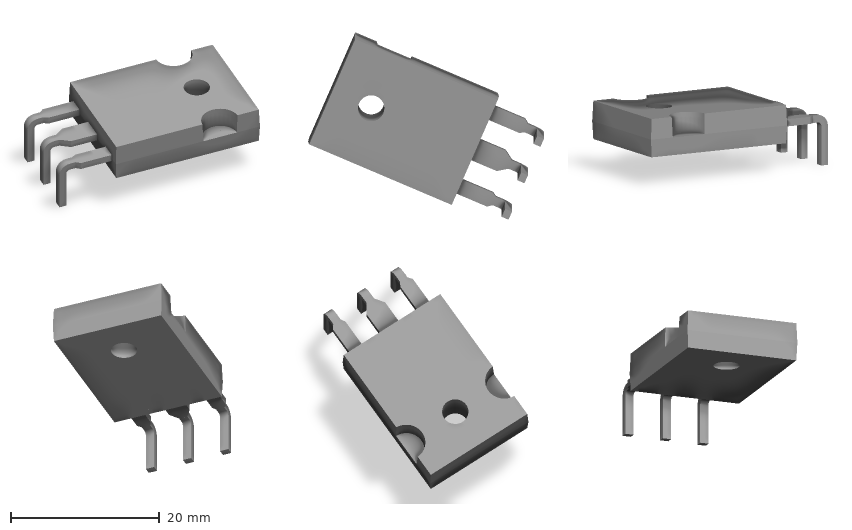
import cadquery as cq
import math


housing_width = 15.9
housing_length = 21.12
height_above = 2.8
height_below = 2.45
draft_inset = 0.1

hole_y = housing_length - 5.82
hole_diameter = 3.55
notch_top_radius = 2.57
notch_floor_radius = 2.45

spreader_width = 13.47
spreader_margin = (housing_width - spreader_width) / 2
spreader_length = housing_length - 2 * spreader_margin

lead_thickness = 1.0
lead_top = 0.55
lead_bottom = lead_top - lead_thickness
blade_embed = 1.15
blade_reach = 5.08
blade_pitch = 5.48
outer_blade_width = 2.03
outer_taper_start = 4.48
middle_blade_width = 3.03
middle_taper_start = 3.77
pin_width = 1.2
pin_pitch = 5.42
pin_reach = 7.42
pin_tip_z = height_above - 9.2
bend_inner_radius = 0.55
bend_outer_radius = bend_inner_radius + lead_thickness

sides = (-1, 1)


def make_housing_half(height):
    """Half of the housing, from the parting plane to the signed height."""
    draft_angle = math.degrees(math.atan(draft_inset / abs(height)))
    return (
        cq.Workplane("XY")
        .center(0, housing_length / 2)
        .rect(housing_width, housing_length)
        .extrude(height, taper=draft_angle)
    )


def make_notch_cutter(side):
    """Upright cone, narrowing down to the parting plane, centred on one long edge."""
    return (
        cq.Workplane("XY")
        .center(side * housing_width / 2, hole_y)
        .circle(notch_floor_radius)
        .workplane(offset=height_above)
        .circle(notch_top_radius)
        .loft()
    )


def make_mounting_hole():
    return (
        cq.Workplane("XY", origin=(0, hole_y, -height_below))
        .circle(hole_diameter / 2)
        .extrude(height_above + height_below)
    )


def make_spreader_blank():
    return (
        cq.Workplane("XY")
        .center(0, housing_length / 2)
        .rect(spreader_width, spreader_length)
        .extrude(-height_below)
    )


def make_blade(position, width, taper_start):
    """Flat lead root, embedded in the housing and tapering down to the pin width."""
    x = position * blade_pitch
    center_offset = position * pin_pitch - x
    tip_left = center_offset - pin_width / 2
    tip_right = center_offset + pin_width / 2
    outline = [
        (-width / 2, blade_embed),
        (-width / 2, -taper_start),
        (tip_left, -blade_reach),
        (tip_right, -blade_reach),
        (width / 2, -taper_start),
        (width / 2, blade_embed),
    ]
    return (
        cq.Workplane("XY", origin=(x, 0, lead_bottom))
        .polyline(outline)
        .close()
        .extrude(lead_thickness)
    )


def make_pin(x):
    """Narrow lead end that continues from the blade and bends down."""
    bend_y = -pin_reach + bend_outer_radius
    bend_z = lead_top - bend_outer_radius
    diagonal = math.sqrt(0.5)
    outer_mid = (bend_y - bend_outer_radius * diagonal, bend_z + bend_outer_radius * diagonal)
    inner_mid = (bend_y - bend_inner_radius * diagonal, bend_z + bend_inner_radius * diagonal)
    return (
        cq.Workplane("YZ", origin=(x, 0, 0))
        .moveTo(-blade_reach, lead_top)
        .lineTo(bend_y, lead_top)
        .threePointArc(outer_mid, (-pin_reach, bend_z))
        .lineTo(-pin_reach, pin_tip_z)
        .lineTo(-pin_reach + lead_thickness, pin_tip_z)
        .lineTo(-pin_reach + lead_thickness, bend_z)
        .threePointArc(inner_mid, (bend_y, lead_bottom))
        .lineTo(-blade_reach, lead_bottom)
        .close()
        .extrude(pin_width / 2, both=True)
    )


blades = [make_blade(side, outer_blade_width, outer_taper_start) for side in sides]
blades.append(make_blade(0, middle_blade_width, middle_taper_start))
pins = [make_pin(position * pin_pitch) for position in (-1, 0, 1)]

spreader = make_spreader_blank().cut(make_mounting_hole())

housing = make_housing_half(height_above).union(make_housing_half(-height_below))
housing = housing.cut(make_mounting_hole()).cut(make_spreader_blank())
for side in sides:
    housing = housing.cut(make_notch_cutter(side))
for blade in blades:
    housing = housing.cut(blade)

result = cq.Compound.makeCompound(
    [housing.solids().val(), spreader.solids().val()]
    + [blade.solids().val() for blade in blades]
    + [pin.solids().val() for pin in pins]
)